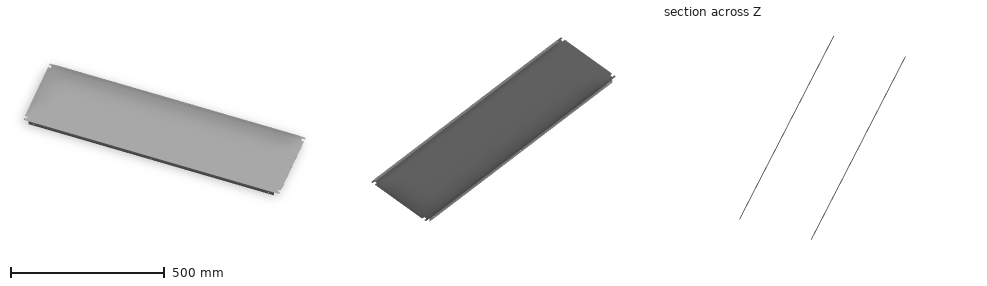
import cadquery as cq

length = 886.5
width = 250.0
height = 15.0
thickness = 0.8

flange_inset = 18.0
bend_radius = 1.2
panel_width = width - 2 * bend_radius
flange_length = length - 2 * flange_inset
hole_diameter = 4.2
hole_spacing = 406.0
hole_drop = 7.0

notch_depth = 10.0
notch_width = 10.0
notch_edge_distance = 8.0
corner_chamfer = 3.0


def make_panel():
    """Flat sheet with clipped corners, its top face at Z = 0."""
    sheet = cq.Workplane("XY").box(length, panel_width, thickness, centered=(True, True, False))
    return sheet.edges("|Z").chamfer(corner_chamfer).translate((0, 0, -thickness))


def make_flanged_channel():
    """Channel section whose two long edges fold down with round bends."""
    outside = (
        cq.Workplane("XY")
        .box(flange_length, width, height)
        .edges("|X and >Z")
        .fillet(bend_radius)
    )
    inside = (
        cq.Workplane("XY")
        .box(flange_length, width - 2 * thickness, height)
        .edges("|X and >Z")
        .fillet(bend_radius - thickness)
        .translate((0, 0, -thickness))
    )
    return outside.cut(inside).translate((0, 0, -height / 2))


def make_notches():
    """Rectangular cutters open to the short edges near each corner."""
    center_x = (length - notch_depth) / 2
    center_y = width / 2 - notch_edge_distance - notch_width / 2
    return (
        cq.Workplane("XY")
        .pushPoints([(sx * center_x, sy * center_y) for sx in (-1, 1) for sy in (-1, 1)])
        .rect(notch_depth, notch_width)
        .extrude(thickness, both=True)
    )


def make_flange_holes():
    """Round cutters through both flanges."""
    return (
        cq.Workplane("XZ")
        .pushPoints([(x, -hole_drop) for x in (-hole_spacing, 0, hole_spacing)])
        .circle(hole_diameter / 2)
        .extrude(width, both=True)
    )


tray = make_panel().union(make_flanged_channel())
result = tray.cut(make_notches()).cut(make_flange_holes()).translate((0, 0, height / 2))